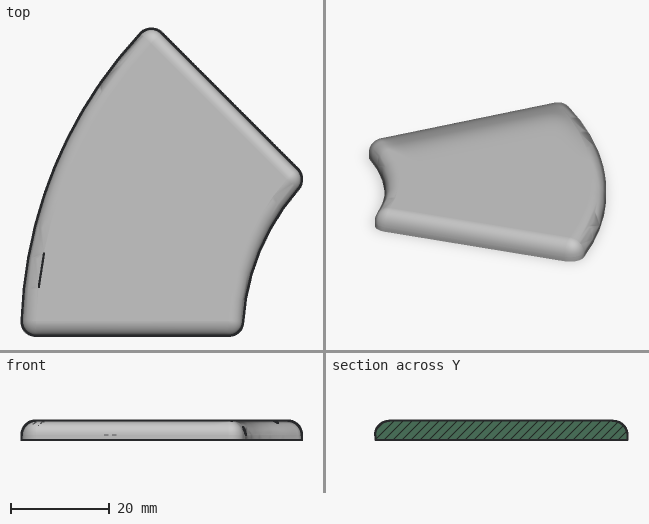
import cadquery as cq

outer_radius = 90.0
inner_radius = 45.0
sweep_angle = 45.0
height = 4.0
edge_radius = 3.0


def sector_plate():
    """Sharp-edged arc sector centred on the origin, swept clockwise from the -X axis."""
    return (
        cq.Workplane("XZ")
        .moveTo(-outer_radius, 0)
        .lineTo(-inner_radius, 0)
        .lineTo(-inner_radius, height)
        .lineTo(-outer_radius, height)
        .close()
        .revolve(sweep_angle, (0, 0), (0, -1))
    )


result = sector_plate().edges("|Z or >Z").fillet(edge_radius)